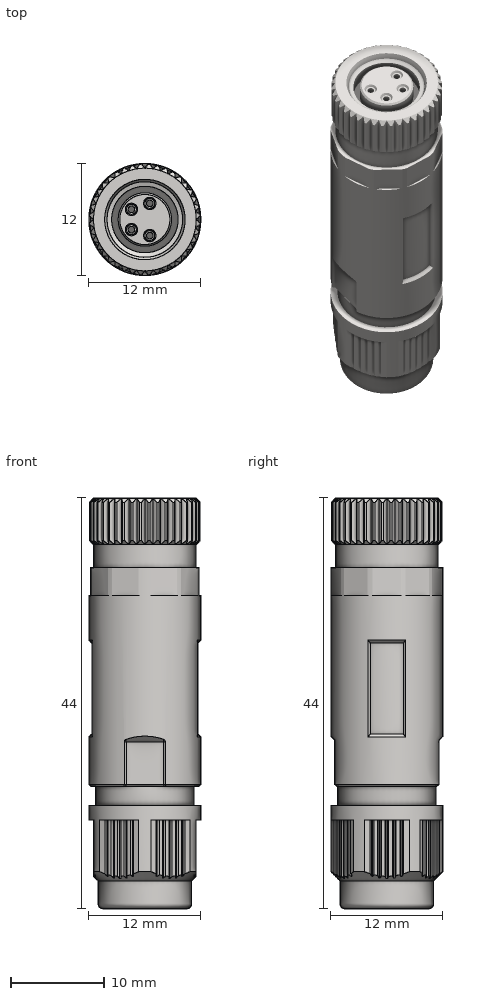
import cadquery as cq
import math

TOTAL_HEIGHT = 44.0
OUTER_DIAMETER = 12.0
OUTER_RADIUS = OUTER_DIAMETER / 2

TAIL_TOP = 3.0
NUT_FLATS_TOP = 9.5
NUT_TOP = 11.1
BODY_BOTTOM = 13.1
BODY_FLATS_BOTTOM = 33.55
BODY_TOP = 36.55
KNURL_BOTTOM = 39.05

TAIL_RADIUS = 5.0
LOWER_NECK_RADIUS = 5.3
UPPER_NECK_RADIUS = 5.5
KNURL_RADIUS = 5.95

TAIL_FILLET = 0.55
BODY_CHAMFER = 0.2
KNURL_CHAMFER = 0.45

KNURL_COUNT = 40
KNURL_CREST_WIDTH = 0.2
KNURL_ROOT_RADIUS = 5.5

NUT_FLAT_COUNT = 6
NUT_FLAT_DISTANCE = 5.5
NUT_GROOVES_PER_FLAT = 5
NUT_GROOVE_PITCH = 0.8
NUT_GROOVE_WIDTH = 0.4
NUT_GROOVE_FLOOR_WIDTH = 0.15
NUT_GROOVE_DEPTH = 0.2

BODY_FLAT_DISTANCE = 5.8
BODY_FLAT_STEP = 34.6

GRIP_FLOOR_DISTANCE = 5.35
GRIP_FLOOR_WIDTH = 3.95
GRIP_FLOOR_TOP = 17.85

LABEL_FLOOR_RADIUS = 5.68
LABEL_FLOOR_WIDTH = 3.5
LABEL_FLOOR_BOTTOM = 18.75
LABEL_FLOOR_TOP = 28.45

SOCKET_RIM_RADIUS = 4.3
SOCKET_THROAT_RADIUS = 4.05
SOCKET_THROAT_DEPTH = 0.55
SOCKET_LEDGE_DROP = 0.15
SOCKET_RADIUS = 3.55
SOCKET_DEPTH = 2.2
INSERT_RADIUS = 2.85
INSERT_RECESS = 0.35
INSERT_CHAMFER = 0.18

CONTACT_CIRCLE_RADIUS = 1.8
CONTACT_ANGLES = (73, 143, 217, 287)
CONTACT_RADIUS = 0.35
CONTACT_MOUTH_RADIUS = 0.55
CONTACT_RIM_RADIUS = 0.65
CONTACT_RIM_DEPTH = 0.2
CONTACT_DEPTH = 2.2

WALL_SLOPE = 45
CUTTER_REACH = OUTER_RADIUS + 0.9


def cylinder(radius, bottom, top):
    return cq.Workplane("XY").workplane(offset=bottom).circle(radius).extrude(top - bottom)


def block_beyond(distance, width, bottom, top, angle):
    """Block outside a plane at the given distance from the axis, facing the given angle."""
    length = CUTTER_REACH - distance
    block = cq.Workplane("XY").box(length, width, top - bottom, centered=(False, True, False))
    return block.translate((distance, 0, bottom)).rotate((0, 0, 0), (0, 0, 1), angle)


def sloped_block(distance, width, bottom, top, angle):
    """Block whose walls flare outward from its floor at the given distance from the axis."""
    block = (
        cq.Workplane("YZ", origin=(distance, 0, (bottom + top) / 2))
        .rect(width, top - bottom)
        .extrude(CUTTER_REACH - distance, taper=-WALL_SLOPE)
    )
    return block.rotate((0, 0, 0), (0, 0, 1), angle)


def make_tail():
    return cylinder(TAIL_RADIUS, 0, NUT_TOP).faces("<Z").edges().fillet(TAIL_FILLET)


def make_nut():
    nut = cylinder(OUTER_RADIUS, TAIL_TOP, NUT_TOP)
    nut = nut.faces("<Z").edges().chamfer(OUTER_RADIUS - TAIL_RADIUS)
    middle = (NUT_GROOVES_PER_FLAT - 1) / 2
    groove_root = NUT_FLAT_DISTANCE - NUT_GROOVE_DEPTH
    for i in range(NUT_FLAT_COUNT):
        angle = i * 360 / NUT_FLAT_COUNT
        nut = nut.cut(block_beyond(NUT_FLAT_DISTANCE, 2 * OUTER_RADIUS, TAIL_TOP, NUT_FLATS_TOP, angle))
        for j in range(NUT_GROOVES_PER_FLAT):
            y = (j - middle) * NUT_GROOVE_PITCH
            groove = (
                cq.Workplane("XY")
                .workplane(offset=TAIL_TOP)
                .moveTo(groove_root, y - NUT_GROOVE_FLOOR_WIDTH / 2)
                .lineTo(groove_root, y + NUT_GROOVE_FLOOR_WIDTH / 2)
                .lineTo(NUT_FLAT_DISTANCE, y + NUT_GROOVE_WIDTH / 2)
                .lineTo(NUT_FLAT_DISTANCE, y - NUT_GROOVE_WIDTH / 2)
                .close()
                .extrude(NUT_FLATS_TOP - TAIL_TOP)
            )
            nut = nut.cut(groove.rotate((0, 0, 0), (0, 0, 1), angle))
    return nut


def make_label_recess():
    """Curved plate on the +X side with all four of its walls flaring outward."""
    flare = (CUTTER_REACH - LABEL_FLOOR_RADIUS) * math.tan(math.radians(WALL_SLOPE))
    band = (
        cq.Workplane("XZ")
        .moveTo(LABEL_FLOOR_RADIUS, LABEL_FLOOR_BOTTOM)
        .lineTo(LABEL_FLOOR_RADIUS, LABEL_FLOOR_TOP)
        .lineTo(CUTTER_REACH, LABEL_FLOOR_TOP + flare)
        .lineTo(CUTTER_REACH, LABEL_FLOOR_BOTTOM - flare)
        .close()
        .revolve(360, (0, 0, 0), (0, 1, 0))
    )
    half_width = LABEL_FLOOR_WIDTH / 2
    corner_x = math.sqrt(LABEL_FLOOR_RADIUS**2 - half_width**2)
    outer_half_width = half_width + (CUTTER_REACH - corner_x) * math.tan(math.radians(WALL_SLOPE))
    wedge = (
        cq.Workplane("XY")
        .workplane(offset=BODY_BOTTOM)
        .moveTo(corner_x, -half_width)
        .lineTo(corner_x, half_width)
        .lineTo(CUTTER_REACH, outer_half_width)
        .lineTo(CUTTER_REACH, -outer_half_width)
        .close()
        .extrude(BODY_TOP - BODY_BOTTOM)
    )
    return band.intersect(wedge)


def make_body():
    body = cylinder(OUTER_RADIUS, BODY_BOTTOM, BODY_TOP)
    for side in (0, 180):
        for step in (-2, -1, 0, 1, 2):
            angle = side + step * BODY_FLAT_STEP
            body = body.cut(
                block_beyond(BODY_FLAT_DISTANCE, OUTER_RADIUS, BODY_FLATS_BOTTOM, BODY_TOP, angle)
            )

    grip_bottom = BODY_BOTTOM - OUTER_RADIUS
    for angle in (-90, 90):
        body = body.cut(
            sloped_block(GRIP_FLOOR_DISTANCE, GRIP_FLOOR_WIDTH, grip_bottom, GRIP_FLOOR_TOP, angle)
        )

    body = body.faces("<Z").edges().chamfer(BODY_CHAMFER)
    for angle in (0, 180):
        body = body.cut(make_label_recess().rotate((0, 0, 0), (0, 0, 1), angle))
    return body


def make_knurled_ring():
    ring = cylinder(KNURL_RADIUS, KNURL_BOTTOM, TOTAL_HEIGHT)
    ring = ring.faces("<Z or >Z").edges().chamfer(KNURL_CHAMFER)
    pitch = 360 / KNURL_COUNT
    half_crest = math.degrees(KNURL_CREST_WIDTH / 2 / KNURL_RADIUS)
    flank_angle = math.radians(pitch / 2 - half_crest)
    crest_x = KNURL_RADIUS * math.cos(flank_angle)
    crest_y = KNURL_RADIUS * math.sin(flank_angle)
    groove = (
        cq.Workplane("XY")
        .workplane(offset=KNURL_BOTTOM)
        .moveTo(KNURL_ROOT_RADIUS, 0)
        .lineTo(crest_x, crest_y)
        .lineTo(CUTTER_REACH, crest_y)
        .lineTo(CUTTER_REACH, -crest_y)
        .lineTo(crest_x, -crest_y)
        .close()
        .extrude(TOTAL_HEIGHT - KNURL_BOTTOM)
    )
    for i in range(KNURL_COUNT):
        ring = ring.cut(groove.rotate((0, 0, 0), (0, 0, 1), i * pitch))
    return ring


def make_socket():
    """Space removed around and above the contact insert."""
    throat_z = TOTAL_HEIGHT - SOCKET_THROAT_DEPTH
    floor_z = TOTAL_HEIGHT - SOCKET_DEPTH
    bore = (
        cq.Workplane("XZ")
        .moveTo(0, TOTAL_HEIGHT)
        .lineTo(SOCKET_RIM_RADIUS, TOTAL_HEIGHT)
        .lineTo(SOCKET_THROAT_RADIUS, throat_z)
        .lineTo(SOCKET_RADIUS, throat_z - SOCKET_LEDGE_DROP)
        .lineTo(SOCKET_RADIUS, floor_z)
        .lineTo(0, floor_z)
        .close()
        .revolve(360, (0, 0, 0), (0, 1, 0))
    )
    insert = cylinder(INSERT_RADIUS, floor_z, TOTAL_HEIGHT - INSERT_RECESS)
    return bore.cut(insert.faces(">Z").edges().chamfer(INSERT_CHAMFER))


def make_contact_holes():
    insert_top = TOTAL_HEIGHT - INSERT_RECESS
    rim_bottom = insert_top - CONTACT_RIM_DEPTH
    hole = (
        cq.Workplane("XZ")
        .moveTo(0, insert_top)
        .lineTo(CONTACT_RIM_RADIUS, insert_top)
        .lineTo(CONTACT_MOUTH_RADIUS, rim_bottom)
        .lineTo(CONTACT_RADIUS, rim_bottom)
        .lineTo(CONTACT_RADIUS, insert_top - CONTACT_DEPTH)
        .lineTo(0, insert_top - CONTACT_DEPTH)
        .close()
        .revolve(360, (0, 0, 0), (0, 1, 0))
        .translate((CONTACT_CIRCLE_RADIUS, 0, 0))
    )
    holes = cq.Workplane("XY")
    for angle in CONTACT_ANGLES:
        holes = holes.add(hole.rotate((0, 0, 0), (0, 0, 1), angle))
    return holes.combine()


result = (
    make_tail()
    .union(make_nut())
    .union(cylinder(LOWER_NECK_RADIUS, NUT_TOP, BODY_BOTTOM))
    .union(make_body())
    .union(cylinder(UPPER_NECK_RADIUS, BODY_TOP, KNURL_BOTTOM))
    .union(make_knurled_ring())
    .cut(make_socket())
    .cut(make_contact_holes())
)